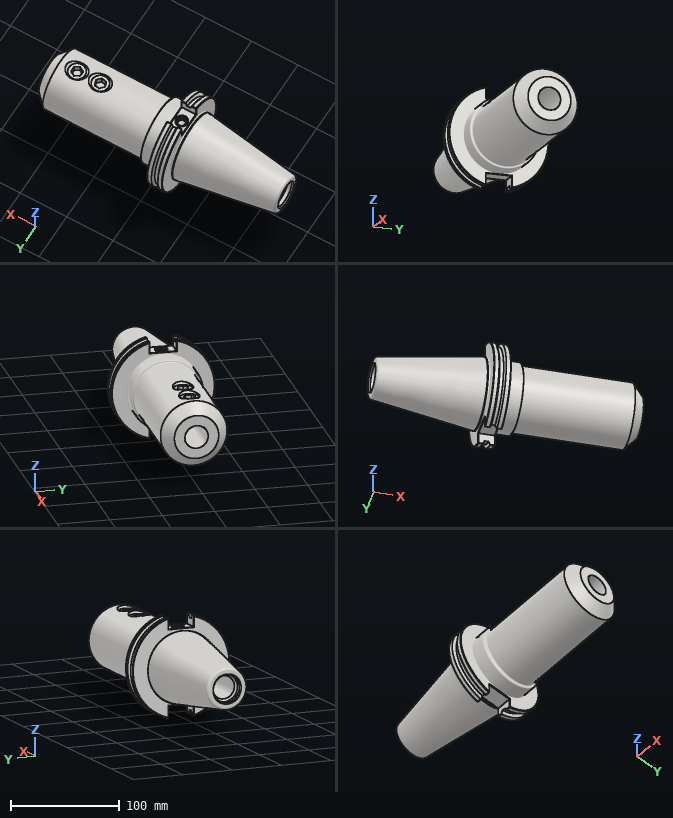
import cadquery as cq
import math

total_length = 254.0

gauge_x = 101.5
gauge_diameter = 69.8
taper_ratio = 7 / 24
small_end_diameter = gauge_diameter - taper_ratio * gauge_x
small_end_fillet = 2.8

neck_diameter = 69.3
neck_chamfer_length = 0.8
shoulder_end_x = 138.0
flange_root_fillet = 0.5

flange_diameter = 98.3
flange_start_x = 104.5
flange_end_x = 120.6
flange_edge_chamfer = 0.5
groove_center_x = 112.5
groove_bottom_width = 3.5
groove_bottom_diameter = 91.2
groove_wall_angle = 25.0

slot_width = 25.5
upper_slot_floor = 36.8
lower_slot_floor = 35.8

slot_hole_x = 112.5
slot_hole_mouth_diameter = 12.2
slot_hole_step_diameter = 10.2
slot_hole_step_depth = 2.0
slot_hole_diameter = 8.0
slot_hole_depth = 5.0
drill_point_angle = 118.0

nose_diameter = 63.5
nose_end_chamfer = 10.7

bore_diameter = 22.0
counterbore_diameter = 26.5
counterbore_depth = 6.0
bore_mouth_diameter = 28.5
bore_mouth_angle = 30.0

outer_screw_x = 225.3
screw_spacing = 25.1
screw_positions = (outer_screw_x - screw_spacing, outer_screw_x)
screw_hex_turns = (-13.0, 30.0)
screw_diameter = 17.3
screw_length = 12.7
screw_top_z = 29.5
hex_across_flats = 9.7
hex_depth = 6.4
screw_countersink_diameter = 22.9

flange_radius = flange_diameter / 2
flange_length = flange_end_x - flange_start_x
selection_margin = 0.13


def make_body_blank():
    """Solid of revolution: taper, neck, plain flange, shoulder and nose."""
    gauge_radius = gauge_diameter / 2
    neck_radius = neck_diameter / 2
    nose_radius = nose_diameter / 2
    shoulder_arc = (neck_radius - nose_radius) / 2
    profile = (
        cq.Workplane("XY")
        .moveTo(0, 0)
        .lineTo(0, small_end_diameter / 2)
        .lineTo(gauge_x, gauge_radius)
        .lineTo(gauge_x + neck_chamfer_length, neck_radius)
        .lineTo(flange_start_x - flange_root_fillet, neck_radius)
        .radiusArc((flange_start_x, neck_radius + flange_root_fillet), -flange_root_fillet)
        .lineTo(flange_start_x, flange_radius)
        .lineTo(flange_end_x, flange_radius)
        .lineTo(flange_end_x, neck_radius + flange_root_fillet)
        .radiusArc((flange_end_x + flange_root_fillet, neck_radius), -flange_root_fillet)
        .lineTo(shoulder_end_x - 2 * shoulder_arc, neck_radius)
        .radiusArc((shoulder_end_x - shoulder_arc, neck_radius - shoulder_arc), shoulder_arc)
        .radiusArc((shoulder_end_x, nose_radius), -shoulder_arc)
        .lineTo(total_length - nose_end_chamfer, nose_radius)
        .lineTo(total_length, nose_radius - nose_end_chamfer)
        .lineTo(total_length, 0)
        .close()
    )
    blank = profile.revolve(360, (0, 0, 0), (1, 0, 0))
    return blank.faces("<X").edges().fillet(small_end_fillet)


def make_bore():
    """Through bore with a counterbore that is chamfered at both ends."""
    bore_radius = bore_diameter / 2
    counterbore_radius = counterbore_diameter / 2
    mouth_radius = bore_mouth_diameter / 2
    mouth_length = (mouth_radius - counterbore_radius) / math.tan(math.radians(bore_mouth_angle))
    return (
        cq.Workplane("XY")
        .moveTo(0, 0)
        .lineTo(0, mouth_radius)
        .lineTo(mouth_length, counterbore_radius)
        .lineTo(counterbore_depth, counterbore_radius)
        .lineTo(counterbore_depth + counterbore_radius - bore_radius, bore_radius)
        .lineTo(total_length, bore_radius)
        .lineTo(total_length, 0)
        .close()
        .revolve(360, (0, 0, 0), (1, 0, 0))
    )


def make_groove():
    """V groove with a flat bottom around the flange rim."""
    groove_radius = groove_bottom_diameter / 2
    depth = flange_radius - groove_radius
    bottom_half = groove_bottom_width / 2
    top_half = bottom_half + depth * math.tan(math.radians(groove_wall_angle))
    return (
        cq.Workplane("XY")
        .moveTo(groove_center_x - top_half, flange_radius)
        .lineTo(groove_center_x - bottom_half, groove_radius)
        .lineTo(groove_center_x + bottom_half, groove_radius)
        .lineTo(groove_center_x + top_half, flange_radius)
        .close()
        .revolve(360, (0, 0, 0), (1, 0, 0))
    )


def make_slot(floor_z, side):
    """Slot across the flange rim; side is +1 above the axis and -1 below it."""
    slot_height = flange_radius - floor_z
    center_z = side * (floor_z + slot_height / 2)
    return (
        cq.Workplane("XY")
        .box(flange_length, slot_width, slot_height)
        .translate((flange_start_x + flange_length / 2, 0, center_z))
    )


def make_slot_hole():
    """Stepped blind hole with a chamfered mouth and a drill point."""
    mouth_radius = slot_hole_mouth_diameter / 2
    step_radius = slot_hole_step_diameter / 2
    hole_radius = slot_hole_diameter / 2
    point_depth = hole_radius / math.tan(math.radians(drill_point_angle / 2))
    return (
        cq.Workplane("XZ")
        .moveTo(0, 0)
        .lineTo(mouth_radius, 0)
        .lineTo(step_radius, step_radius - mouth_radius)
        .lineTo(step_radius, -slot_hole_step_depth)
        .lineTo(hole_radius, -slot_hole_step_depth)
        .lineTo(hole_radius, -slot_hole_depth)
        .lineTo(0, -slot_hole_depth - point_depth)
        .close()
        .revolve(360, (0, 0, 0), (0, 1, 0))
        .translate((slot_hole_x, 0, upper_slot_floor))
    )


def make_screw_hole(x):
    """Radial hole for one set screw, countersunk down to the screw face."""
    crest_z = nose_diameter / 2
    countersink_radius = screw_countersink_diameter / 2
    hole_radius = screw_diameter / 2
    return (
        cq.Workplane("XZ")
        .moveTo(0, screw_top_z - screw_length)
        .lineTo(hole_radius, screw_top_z - screw_length)
        .lineTo(hole_radius, screw_top_z)
        .lineTo(countersink_radius, crest_z)
        .lineTo(0, crest_z)
        .close()
        .revolve(360, (0, 0, 0), (0, 1, 0))
        .translate((x, 0, 0))
    )


def chamfer_flange_edges(body):
    """Break the outer edges of both flange faces and the rim edges of the slots."""
    root_radius = neck_diameter / 2 + flange_root_fillet
    flange_edges = body.edges(cq.selectors.BoxSelector(
        (flange_start_x - selection_margin, -flange_diameter, -flange_diameter),
        (flange_end_x + selection_margin, flange_diameter, flange_diameter),
        boundingbox=True,
    ))

    def is_outer_edge(edge):
        if edge.geomType() == "CIRCLE":
            return edge.radius() > root_radius + selection_margin
        crosses_rim = abs(edge.tangentAt(0).x) > 0.5
        middle = edge.positionAt(0.5)
        at_rim = math.hypot(middle.y, middle.z) > flange_radius - selection_margin
        return at_rim or not crosses_rim

    return flange_edges.filter(is_outer_edge).chamfer(flange_edge_chamfer)


def make_holder():
    """End mill holder: turned body with bore, drive slots and screw holes."""
    holder = make_body_blank().cut(make_bore())
    holder = holder.cut(make_slot(upper_slot_floor, 1))
    holder = holder.cut(make_slot(lower_slot_floor, -1))
    holder = chamfer_flange_edges(holder)
    holder = holder.cut(make_groove())
    holder = holder.cut(make_slot_hole())
    for x in screw_positions:
        holder = holder.cut(make_screw_hole(x))
    return holder


def make_set_screw(x, hex_turn):
    """Flat-ended set screw with a hex socket in its top face."""
    hex_across_corners = hex_across_flats / math.cos(math.radians(30))
    socket = (
        cq.Workplane("XY")
        .polygon(6, hex_across_corners)
        .extrude(-hex_depth)
        .rotate((0, 0, 0), (0, 0, 1), hex_turn)
    )
    screw = cq.Workplane("XY").circle(screw_diameter / 2).extrude(-screw_length)
    return screw.cut(socket).translate((x, 0, screw_top_z))


holder = make_holder()
set_screws = [make_set_screw(x, turn) for x, turn in zip(screw_positions, screw_hex_turns)]

result = cq.Compound.makeCompound([holder.val(), *[screw.val() for screw in set_screws]])